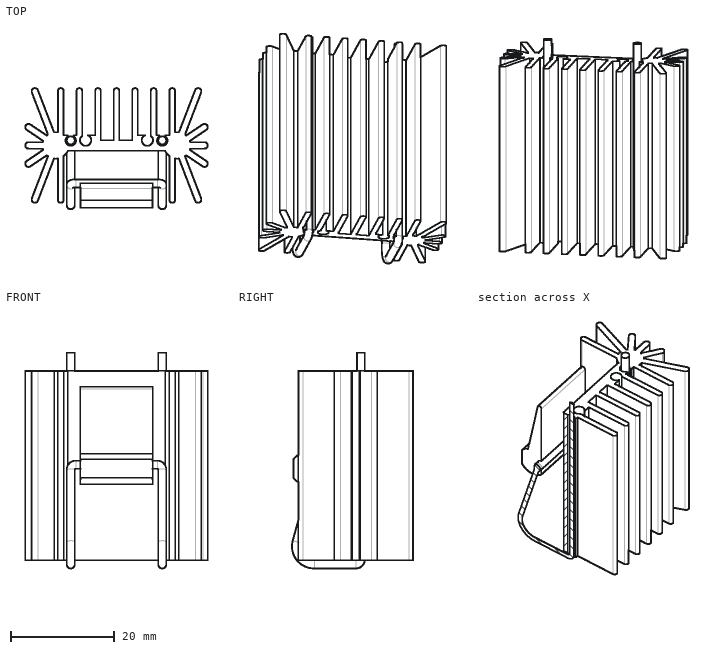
import cadquery as cq
import math

sink_length = 36.52
sink_width = 35.2
fin_reach = 11.05
plate_half_thickness = 1.05
hub_x = 11.75
hub_radius = 2.6

fin_count = 7
fin_pitch = 3.58
fin_thickness = 1.12

radial_thickness = 1.3
steep_fin_angle = 69
shallow_fin_angle = 34

land_height = 2.0
wire_hole_y = 0.9
screw_hole_y = 1.0
wire_hole_diameter = 1.95
wire_hole_mouth = 1.15
screw_hole_x = 5.95
screw_hole_diameter = 2.12
screw_mouth_inner_x = 5.57

wire_diameter = 1.6
leg_x = 8.8
leg_y = 1.0
leg_rise = 3.5
small_bend = 1.0
front_bend = 3.5
front_corner_y = -12.6
crossbar_y = -7.32
crossbar_z = 18.43

lever_width = 13.95
lever_top_z = 33.45
lever_top_depth = 0.9
lever_top_rise = 0.37
lever_front_y = -12.02
cam_y = -9.55
cam_z = 17.7
cam_radius = 3.05
lever_neck_y = -10.55

fin_radius = fin_thickness / 2
radial_radius = radial_thickness / 2
wire_radius = wire_diameter / 2
outer_fin_x = (fin_count - 1) / 2 * fin_pitch


def box_between(x1, x2, y1, y2):
    """Full-length bar with the given X and Y limits."""
    return cq.Workplane("XY").box(x2 - x1, y2 - y1, sink_length, centered=False).translate((x1, y1, 0))


def rod(x, y, diameter):
    """Full-length cylinder along Z."""
    return cq.Workplane("XY").center(x, y).circle(diameter / 2).extrude(sink_length)


def round_fin(x, y, angle, reach, thickness):
    """Fin from (x, y) whose round tip is centred at the given distance along the angle."""
    fin = box_between(0, reach, -thickness / 2, thickness / 2).union(rod(reach, 0, thickness))
    return fin.rotate((0, 0, 0), (0, 0, 1), angle).translate((x, y, 0))


def make_hub(side):
    """Round hub with its five radiating fins and the straight fin on the front."""
    hub = rod(hub_x, 0, 2 * hub_radius)
    side_run = sink_width / 2 - radial_radius - hub_x
    steep_reach = (fin_reach - radial_radius) / math.sin(math.radians(steep_fin_angle))
    shallow_reach = side_run / math.cos(math.radians(shallow_fin_angle))
    hub = hub.union(round_fin(hub_x, 0, 0, side_run, radial_thickness))
    for sign in (-1, 1):
        hub = hub.union(round_fin(hub_x, 0, sign * steep_fin_angle, steep_reach, radial_thickness))
        hub = hub.union(round_fin(hub_x, 0, sign * shallow_fin_angle, shallow_reach, radial_thickness))
    hub = hub.union(round_fin(outer_fin_x, 0, -90, fin_reach - fin_radius, fin_thickness))
    return hub if side > 0 else hub.mirror("YZ")


def make_heatsink():
    sink = box_between(-hub_x, hub_x, -plate_half_thickness, plate_half_thickness)
    for side in (-1, 1):
        sink = sink.union(make_hub(side))
        land_ends = sorted((side * fin_pitch, side * outer_fin_x))
        sink = sink.union(box_between(*land_ends, 0, land_height))

    for i in range(fin_count):
        fin_x = i * fin_pitch - outer_fin_x
        reach = fin_reach - fin_radius - plate_half_thickness
        sink = sink.union(round_fin(fin_x, plate_half_thickness, 90, reach, fin_thickness))

    for side in (-1, 1):
        wire_x = side * leg_x
        mouth_half = wire_hole_mouth / 2
        sink = sink.cut(rod(wire_x, wire_hole_y, wire_hole_diameter))
        sink = sink.cut(box_between(wire_x - mouth_half, wire_x + mouth_half, wire_hole_y, land_height))
        mouth_ends = sorted((side * screw_mouth_inner_x, side * (2 * fin_pitch - fin_radius)))
        sink = sink.cut(rod(side * screw_hole_x, screw_hole_y, screw_hole_diameter))
        sink = sink.cut(box_between(*mouth_ends, screw_hole_y, land_height))
    return sink


def bent_path(corners, radii):
    """Polyline through the corners, with each inner corner rounded to its bend radius."""
    edges = []
    start = corners[0]
    for before, corner, after, radius in zip(corners, corners[1:], corners[2:], radii):
        back = (before - corner).normalized()
        ahead = (after - corner).normalized()
        half_angle = back.getAngle(ahead) / 2
        setback = radius / math.tan(half_angle)
        inward = (back + ahead).normalized()
        middle = corner + inward * (radius / math.sin(half_angle) - radius)
        bend_start = corner + back * setback
        bend_end = corner + ahead * setback
        edges.append(cq.Edge.makeLine(start, bend_start))
        edges.append(cq.Edge.makeThreePointArc(bend_start, middle, bend_end))
        start = bend_end
    edges.append(cq.Edge.makeLine(start, corners[-1]))
    return cq.Wire.assembleEdges(edges)


def make_clip():
    """One wire: up through both holes, under the heatsink, and joined by the front crossbar."""
    leg_top = sink_length + leg_rise
    side_corners = [
        (leg_y, leg_top),
        (leg_y, -wire_radius),
        (front_corner_y, -wire_radius),
        (crossbar_y, crossbar_z),
    ]
    corners = [cq.Vector(-leg_x, y, z) for y, z in side_corners]
    corners += [cq.Vector(leg_x, y, z) for y, z in reversed(side_corners)]
    radii = [small_bend, front_bend, small_bend]
    path = bent_path(corners, radii + radii[::-1])
    section = cq.Workplane("XY", origin=(-leg_x, leg_y, leg_top)).circle(wire_radius)
    return section.sweep(cq.Workplane(path))


def make_lever(clip):
    """Lever with a flat-fronted cam at its foot and a half-round groove in its back for the crossbar."""
    def cam_height(y):
        return math.sqrt(cam_radius ** 2 - (y - cam_y) ** 2)

    top_front_y = crossbar_y - lever_top_depth
    top_edge_z = lever_top_z - lever_top_rise
    front_half = cam_height(lever_front_y)
    front_top = (lever_front_y, cam_z + front_half)
    neck_z = cam_z + cam_height(lever_neck_y)
    shoulder_y = (lever_neck_y + lever_front_y) / 2
    profile = (
        cq.Workplane("YZ", origin=(-lever_width / 2, 0, 0))
        .moveTo(crossbar_y, top_edge_z)
        .threePointArc((crossbar_y - lever_top_depth / 2, lever_top_z), (top_front_y, top_edge_z))
        .lineTo(lever_neck_y, neck_z)
        .threePointArc((shoulder_y, cam_z + cam_height(shoulder_y)), front_top)
        .lineTo(lever_front_y, cam_z - front_half)
        .threePointArc((cam_y, cam_z - cam_radius), (crossbar_y, cam_z - cam_height(crossbar_y)))
        .close()
    )
    return profile.extrude(lever_width).cut(clip)


heatsink = make_heatsink()
clip = make_clip()
lever = make_lever(clip)
result = cq.Compound.makeCompound([heatsink.val(), clip.val(), lever.val()])